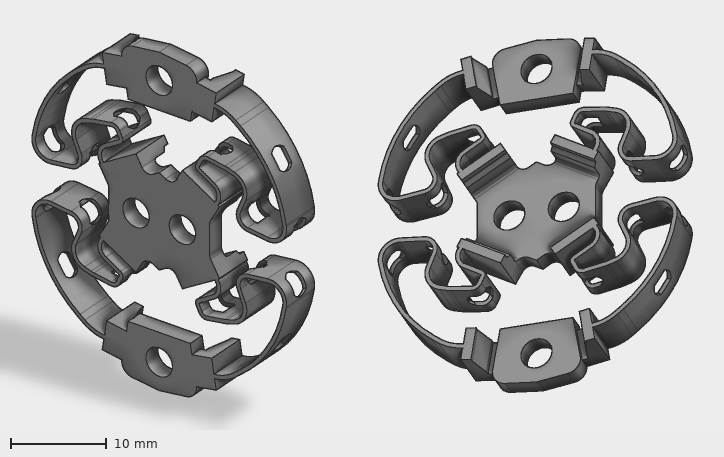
import cadquery as cq
import math


depth = 5.0
plate_depth = 2.1
bore_diameter = 3.4

block_top = 20.25
block_bottom = 13.3
block_bottom_half_width = 4.0
block_roof_angle = 7.0
block_shoulder_center_x = -3.3
block_shoulder_radius = 1.58
block_bore_z = 16.85

wing_angle = 9.0
wing_corner = (-7.37, 17.78)
wing_height = 3.7
wing_length = 3.08
wing_depth = 1.5
ear_foot_width = 1.85
ear_tip_width = 1.15
ear_taper_start = 2.02
ear_taper_end = 4.5

hub_bore_x = 3.0
hub_waist_half_width = 6.52
hub_ridge_z = 5.85
arm_tilt = 30.0
arm_apex = (-3.0, 7.1)
arm_width = 5.55
arm_root_fillet = 1.0
waist_fillet = 1.0

pad_tip_length = 1.0
pad_length = 1.55
pad_step_start = 3.95
pad_step_end = 4.35
pad_foot_radius = 0.5

strip_thickness = 0.5
strip_start = (-6.7, 16.25)
strip_end = (-7.2, 4.37)
strip_bends = [
    (-8.55, 16.08, 5.2),
    (-15.23, 10.98, 15.23),
    (-16.6, 2.2, 2.0),
    (-9.6, 3.0, 1.38),
    (-11.8, 8.22, 2.0),
    (-8.65, 9.15, 3.25),
    (-5.6, 9.65, 0.85),
    (-4.8, 8.0, 0.35),
    (-8.6, 5.8, 1.45),
]

window_diameter = 2.85
window_width = 2.1
window_reach = 0.9
windows = [
    (-13.85, 10.95, 147.0),
    (-15.88, 3.32, 215.0),
    (-10.45, 3.32, -30.0),
    (-5.9, 9.4, 60.0),
]


def polar(angle):
    """Unit vector in XZ at an angle in degrees, counted from +X towards +Z."""
    return math.cos(math.radians(angle)), math.sin(math.radians(angle))


def move(point, direction, distance):
    return point[0] + direction[0] * distance, point[1] + direction[1] * distance


def plate(outline, thickness):
    """Extrude a closed XZ outline from the front face backwards."""
    return outline.close().extrude(-thickness)


def section_plane(corner, angle):
    """Plane for drawing (distance along the angle in XZ, Y), with its origin at an XZ corner."""
    along = polar(angle)
    normal = polar(angle + 90)
    return cq.Plane(
        origin=(corner[0], 0, corner[1]),
        xDir=(along[0], 0, along[1]),
        normal=(normal[0], 0, normal[1]),
    )


def end_block():
    """Half of the upper end block with its wing and ear."""
    roof_slope = math.tan(math.radians(block_roof_angle))
    roof_normal = polar(90 + block_roof_angle)

    arc_start_x = block_shoulder_center_x + roof_normal[0] * block_shoulder_radius
    arc_start = (arc_start_x, block_top + arc_start_x * roof_slope)
    arc_center = move(arc_start, roof_normal, -block_shoulder_radius)
    arc_middle = move(arc_center, polar(135 + block_roof_angle / 2), block_shoulder_radius)
    arc_end = move(arc_center, polar(180), block_shoulder_radius)

    body = plate(
        cq.Workplane("XZ")
        .moveTo(0, block_bottom)
        .lineTo(0, block_top)
        .lineTo(*arc_start)
        .threePointArc(arc_middle, arc_end)
        .lineTo(-block_bottom_half_width, block_bottom),
        plate_depth,
    )

    wing_section = [
        (0, 0),
        (wing_length, 0),
        (wing_length, wing_depth),
        (ear_foot_width, wing_depth),
        (ear_foot_width, ear_taper_start),
        (ear_tip_width, ear_taper_end),
        (ear_tip_width, depth),
        (0, depth),
    ]
    wing = (
        cq.Workplane(section_plane(wing_corner, wing_angle))
        .polyline(wing_section)
        .close()
        .extrude(-wing_height)
    )
    return body.union(wing)


def hub():
    """Quarter of the hub with one arm and its raised pad."""
    inward = polar(arm_tilt - 90)
    across = polar(arm_tilt)
    arm_corner = move(arm_apex, across, -arm_width)
    flank_length = (-hub_waist_half_width - arm_corner[0]) / inward[0]
    waist_corner = move(arm_corner, inward, flank_length)

    fillet_reach = waist_fillet * math.tan(math.radians(arm_tilt / 2))
    waist_start = (waist_corner[0], waist_corner[1] - fillet_reach)
    waist_end = move(waist_corner, inward, -fillet_reach)
    waist_center = move(waist_start, polar(180), waist_fillet)
    waist_middle = move(waist_center, polar(arm_tilt / 2), waist_fillet)

    root_distance = -arm_apex[0] * inward[0] + (hub_ridge_z - arm_apex[1]) * inward[1]
    root_start = move(arm_apex, inward, root_distance - arm_root_fillet)
    root_center = move(root_start, across, arm_root_fillet)
    root_middle = move(root_center, polar(arm_tilt - 135), arm_root_fillet)
    root_end = move(root_center, inward, arm_root_fillet)

    def outline():
        return (
            cq.Workplane("XZ")
            .lineTo(-hub_waist_half_width, 0)
            .lineTo(*waist_start)
            .threePointArc(waist_middle, waist_end)
            .lineTo(*arm_corner)
            .lineTo(*arm_apex)
            .lineTo(*root_start)
            .threePointArc(root_middle, root_end)
            .lineTo(0, hub_ridge_z)
        )

    foot_top = plate_depth + pad_foot_radius
    foot_bend = pad_foot_radius * (1 - math.sqrt(0.5))
    pad = (
        cq.Workplane(section_plane(arm_apex, arm_tilt - 90))
        .lineTo(0, depth)
        .lineTo(pad_tip_length, depth)
        .lineTo(pad_tip_length, pad_step_end)
        .lineTo(pad_length, pad_step_start)
        .lineTo(pad_length, foot_top)
        .threePointArc(
            (pad_length + foot_bend, plate_depth + foot_bend),
            (pad_length + pad_foot_radius, plate_depth),
        )
        .lineTo(pad_length + pad_foot_radius, 0)
        .close()
        .extrude(arm_width, both=True)
    )
    return plate(outline(), plate_depth).union(plate(outline(), depth).intersect(pad))


def unit_step(start, end):
    """Unit vector from one XZ point towards another."""
    length = math.dist(start, end)
    return (end[0] - start[0]) / length, (end[1] - start[1]) / length


def strip_path():
    """Centre line of the spring: straight runs joined by tangent bends."""
    points = [strip_start] + [(x, z) for x, z, _ in strip_bends] + [strip_end]
    path = cq.Workplane("XZ").moveTo(*strip_start)
    for before, (x, z, radius), after in zip(points, strip_bends, points[2:]):
        corner = (x, z)
        back = unit_step(corner, before)
        ahead = unit_step(corner, after)
        half_angle = math.acos(back[0] * ahead[0] + back[1] * ahead[1]) / 2
        bend_start = move(corner, back, radius / math.tan(half_angle))
        bend_end = move(corner, ahead, radius / math.tan(half_angle))
        bisector = unit_step((0, 0), move(back, ahead, 1))
        bend_middle = move(corner, bisector, radius / math.sin(half_angle) - radius)
        path = path.lineTo(*bend_start).threePointArc(bend_middle, bend_end)
    return path.lineTo(*strip_end)


def window_cutter(x, z, angle):
    """Short cylinder with two flats, centred on the strip."""
    axis = polar(angle)
    plane = cq.Plane(origin=(x, depth / 2, z), xDir=(0, 1, 0), normal=(axis[0], 0, axis[1]))
    flats = cq.Workplane(plane).rect(window_width, window_diameter).extrude(window_reach, both=True)
    return cq.Workplane(plane).circle(window_diameter / 2).extrude(window_reach, both=True).intersect(flats)


def spring():
    """Thin strip that follows the centre line, pierced by the windows."""
    first_run = unit_step(strip_start, strip_bends[0][:2])
    plane = cq.Plane(
        origin=(strip_start[0], depth / 2, strip_start[1]),
        xDir=(0, 1, 0),
        normal=(first_run[0], 0, first_run[1]),
    )
    strip = cq.Workplane(plane).rect(depth, strip_thickness).sweep(strip_path())
    for x, z, angle in windows:
        strip = strip.cut(window_cutter(x, z, angle))
    return strip


def bores():
    """Four screw holes through the hub and the end blocks."""
    centers = [
        (-hub_bore_x, 0),
        (hub_bore_x, 0),
        (0, block_bore_z),
        (0, -block_bore_z),
    ]
    return cq.Workplane("XZ").pushPoints(centers).circle(bore_diameter / 2).extrude(-depth)


quarter = hub().union(spring()).union(end_block())
half = quarter.union(quarter.mirror("YZ"))
whole = half.union(half.mirror("XY"))
result = whole.cut(bores())